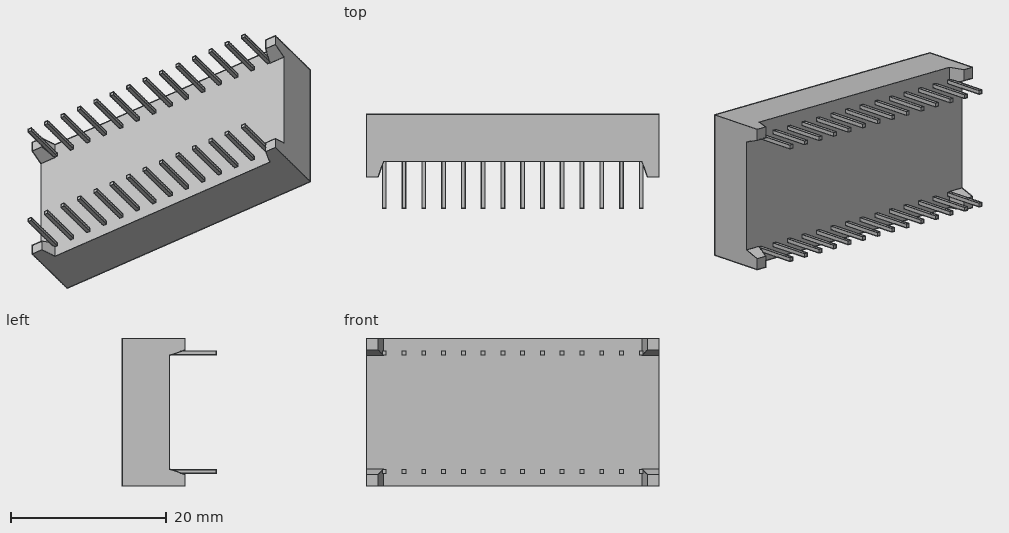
import cadquery as cq

length = 37.6
height = 19.0
body_depth = 6.1

foot_height = 2.0
foot_tip_width = 1.5
foot_base_width = 2.2

row_count = 2
pins_per_row = 14
pin_pitch = 2.54
row_spacing = 15.24
pin_width = 0.5
pin_length = 6.0


def pin_plane():
    """Sketch plane of the pin face, at Y = 0 and facing -Y."""
    return cq.Workplane("XZ")


def make_body():
    return pin_plane().rect(length, height).extrude(-body_depth)


def make_foot(side_x, side_z):
    """Foot flush with the two outer walls, its two inner faces drafted toward the tip."""
    base_x = side_x * (length - foot_base_width) / 2
    base_z = side_z * (height - foot_base_width) / 2
    tip_shift = (foot_base_width - foot_tip_width) / 2
    return (
        pin_plane()
        .center(base_x, base_z)
        .rect(foot_base_width, foot_base_width)
        .workplane(offset=foot_height)
        .center(side_x * tip_shift, side_z * tip_shift)
        .rect(foot_tip_width, foot_tip_width)
        .loft(ruled=True)
    )


def make_pins():
    return (
        pin_plane()
        .rarray(pin_pitch, row_spacing, pins_per_row, row_count)
        .rect(pin_width, pin_width)
        .extrude(pin_length)
    )


result = make_body()
for side_x in (-1, 1):
    for side_z in (-1, 1):
        result = result.union(make_foot(side_x, side_z))
result = result.union(make_pins())